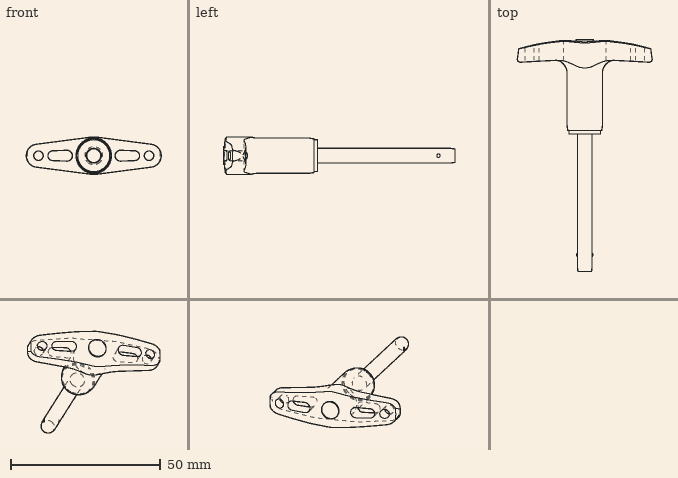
import cadquery as cq
import math


pin_radius = 2.5
pin_length = 46.0
tip_radius = 2.3
tip_length = 1.6
ball_radius = 0.7
ball_reach = 2.75
ball_y = -40.4

hub_radius = 5.95
collar_radius = 5.35
collar_length = 1.2
taper_end_radius = 5.7
taper_length = 1.6
hub_fillet_radius = 4.2
hub_fillet_start_y = 20.5

button_radius = 3.0
button_top_y = 31.6
button_base_y = 28.0

handle_half_length = 22.6
handle_middle_radius = 6.32
handle_end_radius = 3.9
handle_end_x = handle_half_length - handle_end_radius

underside_slope = math.radians(3.3)
end_round_radius = 1.05
end_draft = 0.45

saddle_bottom = (0.0, 31.02)
saddle_edge = (4.0, 31.25)
crest_top = (6.2, 31.4)
crest_outer = (8.4, 31.3)
back_middle = (14.7, 30.4)
back_end = (handle_half_length - end_draft, 28.55)
crown_radius = 38.0

slot_inner_radius = 1.78
slot_inner_x = 8.95
slot_outer_radius = 1.6
slot_outer_x = 13.7
eye_radius = 1.55
eye_x = 18.5

SIDES = (-1, 1)


def tapered_bar(side, inner_x, inner_radius, outer_x, outer_radius):
    """Prism along Y around two circles on the X axis joined by their outer tangent lines."""
    lean = math.asin((inner_radius - outer_radius) / (outer_x - inner_x))
    inner_tangent_x = side * (inner_x + inner_radius * math.sin(lean))
    inner_tangent_z = inner_radius * math.cos(lean)
    outer_tangent_x = side * (outer_x + outer_radius * math.sin(lean))
    outer_tangent_z = outer_radius * math.cos(lean)
    inner_tip = (side * (inner_x - inner_radius), 0)
    outer_tip = (side * (outer_x + outer_radius), 0)
    return (
        cq.Workplane("XZ")
        .moveTo(inner_tangent_x, inner_tangent_z)
        .lineTo(outer_tangent_x, outer_tangent_z)
        .threePointArc(outer_tip, (outer_tangent_x, -outer_tangent_z))
        .lineTo(inner_tangent_x, -inner_tangent_z)
        .threePointArc(inner_tip, (inner_tangent_x, inner_tangent_z))
        .close()
        .extrude(-button_top_y)
    )


def build_turned_body():
    """Hub, its fillet, the sloped underside and the rounded ends, all turned about the pin axis."""
    fillet_center_x = hub_radius + hub_fillet_radius
    fillet_end = (
        fillet_center_x + hub_fillet_radius * math.sin(underside_slope),
        hub_fillet_start_y + hub_fillet_radius * math.cos(underside_slope),
    )
    fillet_middle_angle = (math.pi + math.pi / 2 - underside_slope) / 2
    fillet_middle = (
        fillet_center_x + hub_fillet_radius * math.cos(fillet_middle_angle),
        hub_fillet_start_y + hub_fillet_radius * math.sin(fillet_middle_angle),
    )

    round_center_x = handle_half_length - end_round_radius
    round_start_x = round_center_x - end_round_radius * math.sin(underside_slope)
    round_start_y = fillet_end[1] - (round_start_x - fillet_end[0]) * math.tan(underside_slope)
    round_center_y = round_start_y + end_round_radius * math.cos(underside_slope)
    round_middle_angle = -(math.pi / 2 + underside_slope) / 2
    round_middle = (
        round_center_x + end_round_radius * math.cos(round_middle_angle),
        round_center_y + end_round_radius * math.sin(round_middle_angle),
    )

    return (
        cq.Workplane("XY")
        .lineTo(collar_radius, 0)
        .lineTo(collar_radius, collar_length)
        .lineTo(taper_end_radius, collar_length)
        .lineTo(hub_radius, collar_length + taper_length)
        .lineTo(hub_radius, hub_fillet_start_y)
        .threePointArc(fillet_middle, fillet_end)
        .lineTo(round_start_x, round_start_y)
        .threePointArc(round_middle, (handle_half_length, round_center_y))
        .lineTo(*back_end)
        .lineTo(back_end[0], button_top_y)
        .lineTo(0, button_top_y)
        .close()
        .revolve(360, (0, 0, 0), (0, 1, 0))
    )


def mirrored(point):
    return (-point[0], point[1])


def build_back_limit():
    """Everything below the back: a saddle between two long arcs, crowned across the handle."""
    crown_axis_y = crest_top[1] - crown_radius
    crowned = (
        cq.Workplane("XY")
        .moveTo(-handle_half_length, crown_axis_y)
        .lineTo(-handle_half_length, back_end[1])
        .lineTo(*mirrored(back_end))
        .threePointArc(mirrored(back_middle), mirrored(crest_outer))
        .threePointArc(mirrored(crest_top), mirrored(saddle_edge))
        .threePointArc(saddle_bottom, saddle_edge)
        .threePointArc(crest_top, crest_outer)
        .threePointArc(back_middle, back_end)
        .lineTo(handle_half_length, back_end[1])
        .lineTo(handle_half_length, crown_axis_y)
        .close()
        .revolve(360, (0, crown_axis_y, 0), (1, crown_axis_y, 0))
    )
    return crowned.rotate((0, crown_axis_y, 0), (1, crown_axis_y, 0), 180)


def build_handle_outline():
    left, right = [
        tapered_bar(side, 0, handle_middle_radius, handle_end_x, handle_end_radius)
        for side in SIDES
    ]
    return left.union(right)


def build_openings(side):
    """Tapered slot and round eye on one side of the handle."""
    slot = tapered_bar(side, slot_inner_x, slot_inner_radius, slot_outer_x, slot_outer_radius)
    eye = cq.Workplane("XZ").center(side * eye_x, 0).circle(eye_radius).extrude(-button_top_y)
    return slot.union(eye)


def build_button():
    return (
        cq.Workplane("XZ", origin=(0, button_top_y, 0))
        .circle(button_radius)
        .extrude(button_top_y - button_base_y)
    )


def build_pin():
    """Pin with a tapered tip, starting inside the collar."""
    return (
        cq.Workplane("XY")
        .moveTo(0, collar_length)
        .lineTo(pin_radius, collar_length)
        .lineTo(pin_radius, tip_length - pin_length)
        .lineTo(tip_radius, -pin_length)
        .lineTo(0, -pin_length)
        .close()
        .revolve(360, (0, 0, 0), (0, 1, 0))
    )


def build_ball(side):
    ball_center_x = side * (ball_reach - ball_radius)
    return cq.Workplane("XY").sphere(ball_radius).translate((ball_center_x, ball_y, 0))


result = build_turned_body().intersect(build_handle_outline()).intersect(build_back_limit())
for side in SIDES:
    result = result.cut(build_openings(side))
result = result.union(build_button()).union(build_pin())
for side in SIDES:
    result = result.union(build_ball(side))